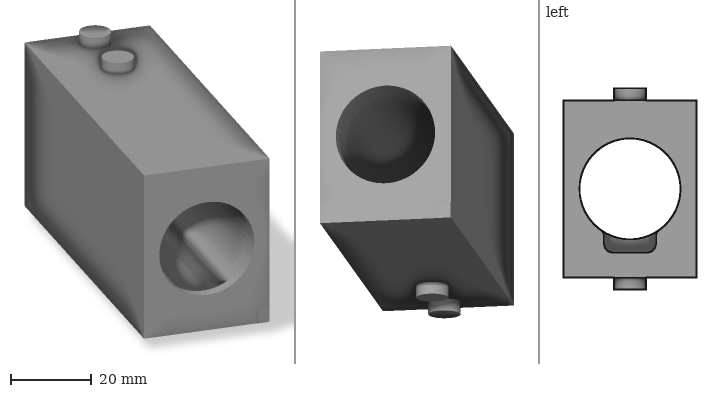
import cadquery as cq

total_length = 90.0
pad_thickness = 0.1
pad_width = 3.0
pad_height = 3.8
pad_side_inset = 0.2
length = total_length - pad_thickness
width = 33.0
height = 44.0

pin_diameter = 8.0
total_height = 50.0
pin_height = (total_height - height) / 2
pin_positions = (5.9, 23.0)

bore_diameter = 25.0
keyway_width = 13.0
keyway_floor = -15.8
keyway_corner_radius = 2.3
keyway_mouth_radius = 2.0
keyway_end_wall = 3.0
keyway_length = length - keyway_end_wall


def make_pins(direction):
    """Pins standing on the top (+1) or bottom (-1) face."""
    return (
        cq.Workplane("XY", origin=(0, 0, direction * height / 2))
        .pushPoints([(x, 0) for x in pin_positions])
        .circle(pin_diameter / 2)
        .extrude(direction * pin_height)
    )


def make_keyed_bore():
    """Bore joined to its keyway, with the keyway mouth and lower corners rounded."""
    bore = cq.Workplane("YZ").circle(bore_diameter / 2).extrude(keyway_length)
    keyway = (
        cq.Workplane("YZ", origin=(0, 0, keyway_floor / 2))
        .rect(keyway_width, -keyway_floor)
        .extrude(keyway_length)
        .edges("|X and <Z")
        .fillet(keyway_corner_radius)
    )
    mouth_height = -((bore_diameter / 2) ** 2 - (keyway_width / 2) ** 2) ** 0.5
    mouth_edges = cq.selectors.BoxSelector(
        (0, -width / 2, mouth_height - keyway_mouth_radius / 10),
        (length, width / 2, mouth_height + keyway_mouth_radius / 10),
    )
    return bore.union(keyway).edges("|X").edges(mouth_edges).fillet(keyway_mouth_radius)


def make_pad():
    """Thin pad on the +X face, flush with the bottom of the block."""
    pad = cq.Workplane("XY").box(pad_thickness, pad_width, pad_height, centered=False)
    return pad.translate(
        (length, width / 2 - pad_side_inset - pad_width, -height / 2)
    )


block = cq.Workplane("XY").box(length, width, height).translate((length / 2, 0, 0))
through_bore = cq.Workplane("YZ").circle(bore_diameter / 2).extrude(length)

result = block.cut(make_keyed_bore()).cut(through_bore).union(make_pad())
for direction in (1, -1):
    result = result.union(make_pins(direction))